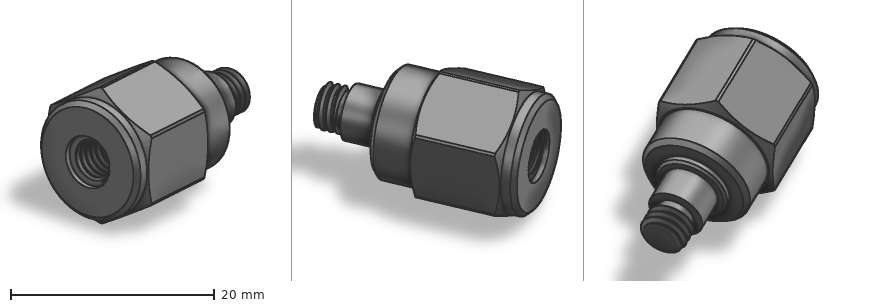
import cadquery as cq
import math


base_diameter = 12.45
base_length = 1.524
edge_chamfer = 0.508
hex_across_flats = 12.7
hex_across_corners = 14.48
hex_length = 9.74
hex_chamfer_angle = 30.0
hex_rear_diameter = 12.12

barrel_diameter = 11.73
barrel_length = 4.47
collar_diameter = 7.67
collar_length = 0.79
collar_chamfer = 0.28

neck_diameter = 5.84
neck_length = 3.41
undercut_diameter = 3.88
undercut_length = 0.82

thread_pitch = 25.4 / 32
thread_major_diameter = 4.826
thread_flank_angle = 30.0
thread_length = 2.456
thread_crest_setback = 0.36
thread_crest_flat = 0.04
tip_diameter = 3.2
tip_chamfer_length = 0.09

counterbore_diameter = 5.45
counterbore_depth = 0.6
hole_minor_diameter = 4.0
hole_thread_length = 4.0
hole_crest_angle = 20.0
hole_crest_flat = thread_pitch / 8

thread_overlap = 0.05

hex_start = base_length
hex_end = hex_start + hex_length
barrel_end = hex_end + barrel_length
collar_end = barrel_end + collar_length
neck_end = collar_end + neck_length
thread_start = neck_end + undercut_length
tip_end = thread_start + thread_length


def turned(profile):
    """Solid of revolution about Y from (radius, y) points."""
    return cq.Workplane("XY").polyline(profile).close().revolve(360, (0, 0), (0, 1))


def cylinder(diameter, start, length):
    """Cylinder on the Y axis from start towards +Y."""
    return cq.Workplane("XZ", origin=(0, start, 0)).circle(diameter / 2).extrude(-length)


def thread_ridge(root_diameter, crest_flat, crest_at, turns):
    """Right-hand ridge about Y, a V with a flat crest that crosses the +X side at y = crest_at."""
    root_radius = root_diameter / 2 - thread_overlap
    crest_radius = thread_major_diameter / 2
    half_crest = crest_flat / 2
    half_root = half_crest + (crest_radius - root_radius) * math.tan(math.radians(thread_flank_angle))
    path = cq.Wire.makeHelix(thread_pitch, turns * thread_pitch, root_radius)
    ridge = (
        cq.Workplane("XZ")
        .polyline([
            (root_radius, -half_root),
            (crest_radius, -half_crest),
            (crest_radius, half_crest),
            (root_radius, half_root),
        ])
        .close()
        .sweep(cq.Workplane(path), isFrenet=True)
    )
    return ridge.rotate((0, 0, 0), (1, 0, 0), -90).translate((0, crest_at, 0))


def make_hexagon():
    """Hexagon with flats on +X and -X, rounded corners and conical chamfers at both ends."""
    outline = cq.Workplane("XZ", origin=(0, hex_start, 0)).polygon(6, hex_across_flats, circumscribed=True)
    prism = outline.extrude(-hex_length)
    corner_radius = hex_across_corners / 2
    front_radius = base_diameter / 2
    rear_radius = hex_rear_diameter / 2
    slope = math.tan(math.radians(hex_chamfer_angle))
    envelope = turned([
        (0, hex_start),
        (front_radius, hex_start),
        (corner_radius, hex_start + (corner_radius - front_radius) * slope),
        (corner_radius, hex_end - (corner_radius - rear_radius) * slope),
        (rear_radius, hex_end),
        (0, hex_end),
    ])
    return prism.intersect(envelope)


def make_mounting_hole():
    """Counterbore followed by a blind tapped hole."""
    counterbore = cylinder(counterbore_diameter, 0, counterbore_depth)
    bore = cylinder(hole_minor_diameter, counterbore_depth, hole_thread_length)
    crest_at = counterbore_depth + (hole_crest_angle / 360 - 1) * thread_pitch
    turns = math.ceil(hole_thread_length / thread_pitch) + 2
    groove = thread_ridge(hole_minor_diameter, hole_crest_flat, crest_at, turns)
    limits = cylinder(counterbore_diameter, counterbore_depth, hole_thread_length)
    return bore.union(groove.intersect(limits)).union(counterbore)


def make_housing():
    base = cylinder(base_diameter, 0, base_length).faces("<Y").chamfer(edge_chamfer)
    barrel = cylinder(barrel_diameter, hex_end, barrel_length).faces(">Y").chamfer(edge_chamfer)
    collar = cylinder(collar_diameter, barrel_end, collar_length).faces(">Y").chamfer(collar_chamfer)
    body = make_hexagon().union(base).union(barrel).union(collar)
    return body.cut(make_mounting_hole())


def make_tip_trim():
    """Ring that bevels the tip of the connector thread."""
    tip_radius = tip_diameter / 2
    outer_radius = neck_diameter / 2
    slope = tip_chamfer_length / (undercut_diameter / 2 - tip_radius)
    return turned([
        (tip_radius, tip_end),
        (outer_radius, tip_end - (outer_radius - tip_radius) * slope),
        (outer_radius, tip_end + thread_pitch),
        (tip_radius, tip_end + thread_pitch),
    ])


def make_connector():
    neck = cylinder(neck_diameter, collar_end, neck_length)
    undercut = cylinder(undercut_diameter, neck_end, undercut_length)
    turns = math.ceil(thread_length / thread_pitch) + 2
    crest_at = tip_end - thread_crest_setback - (turns - 1) * thread_pitch
    core = cylinder(undercut_diameter, collar_end, tip_end + 2 * thread_pitch - collar_end)
    threaded_rod = core.union(thread_ridge(undercut_diameter, thread_crest_flat, crest_at, turns))
    threaded_rod = threaded_rod.intersect(cylinder(neck_diameter, thread_start, thread_length))
    return neck.union(undercut).union(threaded_rod).cut(make_tip_trim())


housing = make_housing()
connector = make_connector()

result = cq.Compound.makeCompound([housing.val(), connector.val()])